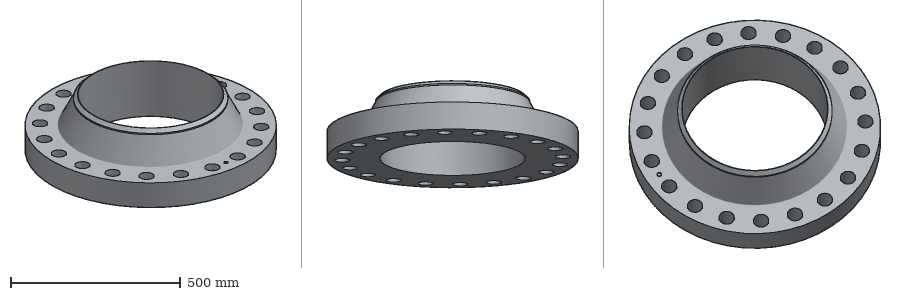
import cadquery as cq

flange_diameter = 743.0
flange_thickness = 82.5

overall_height = 184.0
hub_base_diameter = 547.0
hub_foot_radius = 3.0
neck_diameter = 457.0
neck_land_height = 4.5
bore_diameter = 429.0

weld_face_width = 1.5
bevel_height = 11.0

bolt_circle_diameter = 653.5
bolt_hole_count = 20
bolt_hole_diameter = 44.5

recess_diameter = 12.5
recess_depth = 4.0

flange_radius = flange_diameter / 2
hub_base_radius = hub_base_diameter / 2
neck_radius = neck_diameter / 2
bore_radius = bore_diameter / 2
weld_face_radius = bore_radius + weld_face_width
bevel_base_z = overall_height - bevel_height
taper_top_z = bevel_base_z - neck_land_height
bolt_circle_radius = bolt_circle_diameter / 2
bolt_pitch_angle = 360 / bolt_hole_count


def flange_body():
    """Flange plate, tapered hub and weld bevel turned about the Z axis."""
    profile = (
        cq.Workplane("XZ")
        .moveTo(bore_radius, 0)
        .lineTo(flange_radius, 0)
        .lineTo(flange_radius, flange_thickness)
        .lineTo(hub_base_radius, flange_thickness)
        .lineTo(neck_radius, taper_top_z)
        .lineTo(neck_radius, bevel_base_z)
        .lineTo(weld_face_radius, overall_height)
        .lineTo(bore_radius, overall_height)
        .close()
    )
    return profile.revolve(360, (0, 0, 0), (0, 1, 0))


def round_hub_foot(body):
    """Fillet the circle where the hub taper meets the flange plate."""
    foot_reach = hub_base_radius + hub_foot_radius
    foot_box = cq.selectors.BoxSelector(
        (-foot_reach, -foot_reach, flange_thickness - hub_foot_radius),
        (foot_reach, foot_reach, flange_thickness + hub_foot_radius),
        boundingbox=True,
    )
    return body.edges(foot_box).fillet(hub_foot_radius)


def bolt_circle_cutters(diameter, depth, start_angle, count):
    """Evenly spaced cylinders on the bolt circle, sunk from the flange's top face."""
    return (
        cq.Workplane("XY", origin=(0, 0, flange_thickness))
        .polarArray(bolt_circle_radius, start_angle, 360, count)
        .circle(diameter / 2)
        .extrude(-depth)
    )


bolt_holes = bolt_circle_cutters(bolt_hole_diameter, flange_thickness, 0, bolt_hole_count)
recess = bolt_circle_cutters(recess_diameter, recess_depth, bolt_pitch_angle / 2, 1)

result = round_hub_foot(flange_body()).cut(bolt_holes).cut(recess)